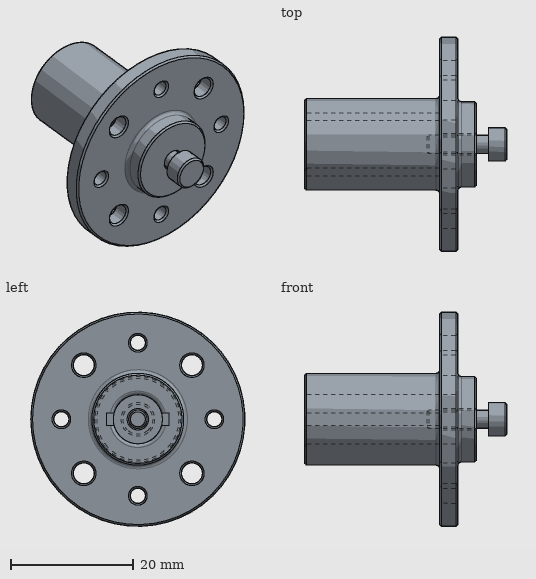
import cadquery as cq
import math


SLEEVE_DIAMETER = 15.0
SLEEVE_LENGTH = 22.0
FLANGE_DIAMETER = 35
FLANGE_THICKNESS = 3.0
BOSS_DIAMETER = 14
BOSS_LENGTH = 3.0
EDGE_CHAMFER = 0.3
ROOT_FILLET = 0.6
FLANGE_BACK = SLEEVE_LENGTH + FLANGE_THICKNESS

HOLE_COUNT = 8
HOLE_PITCH_RADIUS = 12.5
LARGE_HOLE_DIAMETER = 3.4
SMALL_HOLE_DIAMETER = 2.45

BORE_DIAMETER = 8.0
BORE_DEPTH = FLANGE_BACK
MOUTH_FILLET = 0.6
SLOT_WIDTH = 2.0
SLOT_SPAN = 10.25
SCREW_CLEARANCE_DIAMETER = 3.5

PLUG_THICKNESS = BORE_DEPTH - SLEEVE_LENGTH

OVERALL_LENGTH = 33.0
HEAD_DIAMETER = 5.5
HEAD_LENGTH = 3.0
SHANK_DIAMETER = 3.0
SHANK_LENGTH = 10.0
TIP_CHAMFER = 0.28
HEAD_START = OVERALL_LENGTH - HEAD_LENGTH


def cylinder(diameter, start, length, y=0, z=0):
    """Cylinder along +X starting at X = start."""
    plane = cq.Plane(origin=(start, y, z), xDir=(0, 1, 0), normal=(1, 0, 0))
    return cq.Workplane(plane).circle(diameter / 2).extrude(length)


def make_housing_blank():
    """Solid sleeve, flange and boss with broken edges and filleted roots."""
    sleeve = cylinder(SLEEVE_DIAMETER, 0, SLEEVE_LENGTH).faces("<X").chamfer(EDGE_CHAMFER)
    flange = cylinder(FLANGE_DIAMETER, SLEEVE_LENGTH, FLANGE_THICKNESS).edges().chamfer(EDGE_CHAMFER)
    boss = cylinder(BOSS_DIAMETER, FLANGE_BACK, BOSS_LENGTH).faces(">X").chamfer(EDGE_CHAMFER)
    blank = sleeve.union(flange).union(boss)
    for diameter, x in ((SLEEVE_DIAMETER, SLEEVE_LENGTH), (BOSS_DIAMETER, FLANGE_BACK)):
        reach = diameter / 2 + EDGE_CHAMFER
        root = cq.selectors.BoxSelector(
            (x - EDGE_CHAMFER, -reach, -reach), (x + EDGE_CHAMFER, reach, reach), boundingbox=True
        )
        blank = blank.edges(root).fillet(ROOT_FILLET)
    return blank


def make_flange_hole(diameter, angle):
    """Cutter for a through hole in the flange, chamfered at both mouths."""
    y = HOLE_PITCH_RADIUS * math.cos(angle)
    z = HOLE_PITCH_RADIUS * math.sin(angle)
    mouth_diameter = diameter + 2 * EDGE_CHAMFER
    hole = cylinder(diameter, SLEEVE_LENGTH, FLANGE_THICKNESS, y, z)
    for x, direction in ((SLEEVE_LENGTH, 1), (FLANGE_BACK, -1)):
        cone = cq.Solid.makeCone(
            mouth_diameter / 2, diameter / 2, EDGE_CHAMFER, cq.Vector(x, y, z), cq.Vector(direction, 0, 0)
        )
        hole = hole.union(cq.Workplane(cone))
    return hole


def make_key_slots():
    """Cutter for both key slots, which stop level with the plug front."""
    return cq.Workplane("XY").box(SLEEVE_LENGTH, SLOT_SPAN, SLOT_WIDTH, centered=(False, True, True))


def make_housing():
    housing = make_housing_blank()
    housing = housing.cut(cylinder(BORE_DIAMETER, 0, BORE_DEPTH))
    bore_mouth = cq.selectors.RadiusNthSelector(0)
    housing = housing.faces("<X").edges(bore_mouth).fillet(MOUTH_FILLET)
    housing = housing.cut(make_key_slots())
    housing = housing.cut(cylinder(SCREW_CLEARANCE_DIAMETER, BORE_DEPTH, BOSS_LENGTH))
    for index in range(HOLE_COUNT):
        diameter = LARGE_HOLE_DIAMETER if index % 2 else SMALL_HOLE_DIAMETER
        angle = 2 * math.pi * index / HOLE_COUNT
        housing = housing.cut(make_flange_hole(diameter, angle))
    return housing


def make_plug():
    plug = cylinder(BORE_DIAMETER, SLEEVE_LENGTH, PLUG_THICKNESS)
    return plug.cut(cylinder(SCREW_CLEARANCE_DIAMETER, SLEEVE_LENGTH, PLUG_THICKNESS))


def make_screw():
    shank_start = HEAD_START - SHANK_LENGTH
    shank = cylinder(SHANK_DIAMETER, shank_start, SHANK_LENGTH).faces("<X").chamfer(TIP_CHAMFER)
    head = cylinder(HEAD_DIAMETER, HEAD_START, HEAD_LENGTH).faces(">X").chamfer(EDGE_CHAMFER)
    return shank.union(head)


housing = make_housing()
plug = make_plug()
screw = make_screw()
result = cq.Compound.makeCompound([housing.val(), plug.val(), screw.val()])